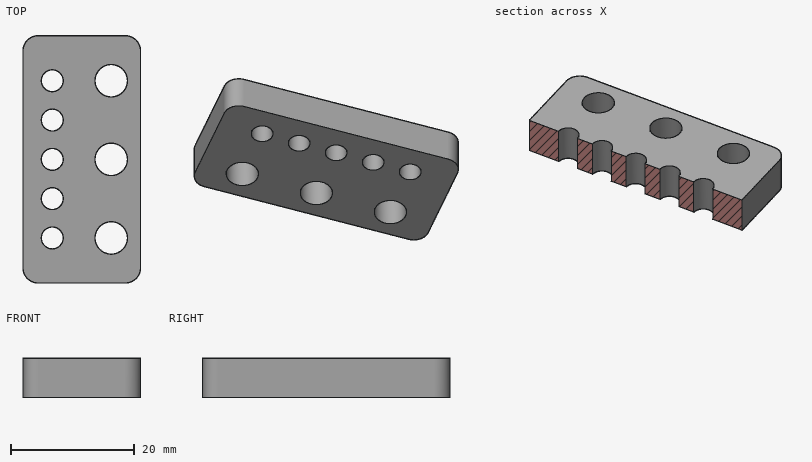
import cadquery as cq

PLATE_WIDTH = 19.04
PLATE_LENGTH = 40.0
PLATE_THICKNESS = 6.35
CORNER_RADIUS = 2.5

HOLE_PITCH = 6.35
ROW_OFFSET = 0.75 * HOLE_PITCH

SMALL_HOLE_DIAMETER = 3.5
SMALL_HOLE_COUNT = 5

LARGE_HOLE_DIAMETER = 5.2
LARGE_HOLE_COUNT = 3
LARGE_HOLE_PITCH = 2 * HOLE_PITCH


def make_plate():
    """Block with all four vertical edges rounded."""
    block = cq.Workplane("XY").box(PLATE_WIDTH, PLATE_LENGTH, PLATE_THICKNESS)
    return block.edges("|Z").fillet(CORNER_RADIUS)


def drill_row(body, row_x, count, pitch, diameter):
    """Drill a row of through holes along Y, centred on Y = 0."""
    first_y = -pitch * (count - 1) / 2
    centres = [(row_x, first_y + index * pitch) for index in range(count)]
    return body.faces(">Z").workplane(origin=(0, 0, 0)).pushPoints(centres).hole(diameter)


plate = make_plate()
plate = drill_row(plate, -ROW_OFFSET, SMALL_HOLE_COUNT, HOLE_PITCH, SMALL_HOLE_DIAMETER)
plate = drill_row(plate, ROW_OFFSET, LARGE_HOLE_COUNT, LARGE_HOLE_PITCH, LARGE_HOLE_DIAMETER)

result = plate